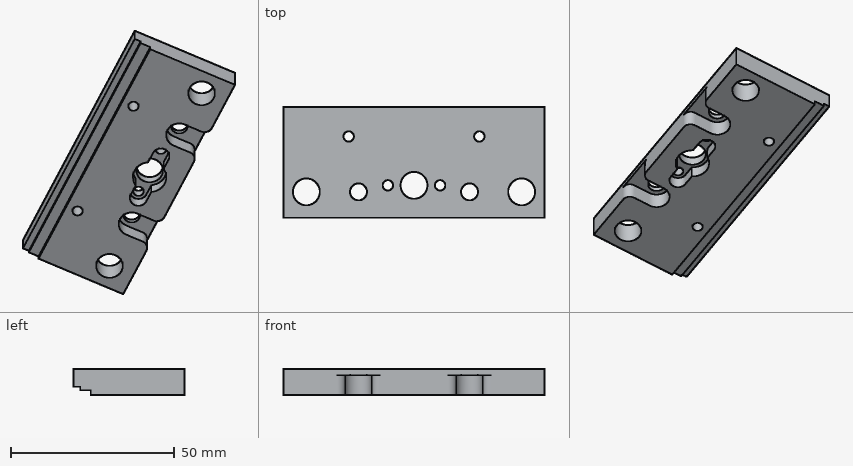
import cadquery as cq

length = 80.0
width = 34.0
height = 8.0

lower_step_depth = 5.3
lower_step_height = 1.4
upper_step_depth = 2.0
upper_step_height = 2.5

large_diameter = 8.2
medium_diameter = 5.1
small_diameter = 3.1
front_row_y = 8.0
center_row_y = 10.0
back_row_y = 25.0
end_hole_x = 33.0
screw_spacing = 34.0
screw_x = screw_spacing / 2
center_pin_x = 8.0
back_pin_x = 20.0

recess_roof = 1.9
recess_height = height - recess_roof
recess_radius = 4.0
recess_mouth_radius = 2.5

center_recess_height = 4.5
center_recess_diameter = 10.2
center_slot_width = 5.3


def make_plate():
    """Extrude the stepped side profile along X."""
    return (
        cq.Workplane("YZ")
        .moveTo(0, 0)
        .lineTo(width - lower_step_depth, 0)
        .lineTo(width - lower_step_depth, lower_step_height)
        .lineTo(width - upper_step_depth, lower_step_height)
        .lineTo(width - upper_step_depth, upper_step_height)
        .lineTo(width, upper_step_height)
        .lineTo(width, height)
        .lineTo(0, height)
        .close()
        .extrude(length / 2, both=True)
    )


def make_hole_pair(x, y, diameter):
    """Two through holes mirrored about the middle of the plate."""
    return cq.Workplane("XY").pushPoints([(-x, y), (x, y)]).circle(diameter / 2).extrude(height)


def make_recess(x):
    """Round-ended recess whose mouth flares out through rounded corners."""
    mouth_half_width = recess_radius + recess_mouth_radius
    return (
        cq.Workplane("XY")
        .center(x, 0)
        .moveTo(-mouth_half_width, 0)
        .radiusArc((-recess_radius, recess_mouth_radius), -recess_mouth_radius)
        .lineTo(-recess_radius, front_row_y)
        .threePointArc((0, front_row_y + recess_radius), (recess_radius, front_row_y))
        .lineTo(recess_radius, recess_mouth_radius)
        .radiusArc((mouth_half_width, 0), -recess_mouth_radius)
        .close()
        .extrude(recess_height)
    )


def make_center_recess():
    """Round pocket joined with a round-ended slot along X."""
    slot_length = 2 * center_pin_x + center_slot_width
    slot = (
        cq.Workplane("XY")
        .center(0, center_row_y)
        .slot2D(slot_length, center_slot_width)
        .extrude(center_recess_height)
    )
    pocket = (
        cq.Workplane("XY")
        .center(0, center_row_y)
        .circle(center_recess_diameter / 2)
        .extrude(center_recess_height)
    )
    return pocket.union(slot)


result = make_plate()

for hole_x, hole_y, diameter in [
    (end_hole_x, front_row_y, large_diameter),
    (screw_x, front_row_y, medium_diameter),
    (center_pin_x, center_row_y, small_diameter),
    (back_pin_x, back_row_y, small_diameter),
]:
    result = result.cut(make_hole_pair(hole_x, hole_y, diameter))

center_hole = cq.Workplane("XY").center(0, center_row_y).circle(large_diameter / 2).extrude(height)
result = result.cut(center_hole)
result = result.cut(make_center_recess())

for side in (-1, 1):
    result = result.cut(make_recess(side * screw_x))